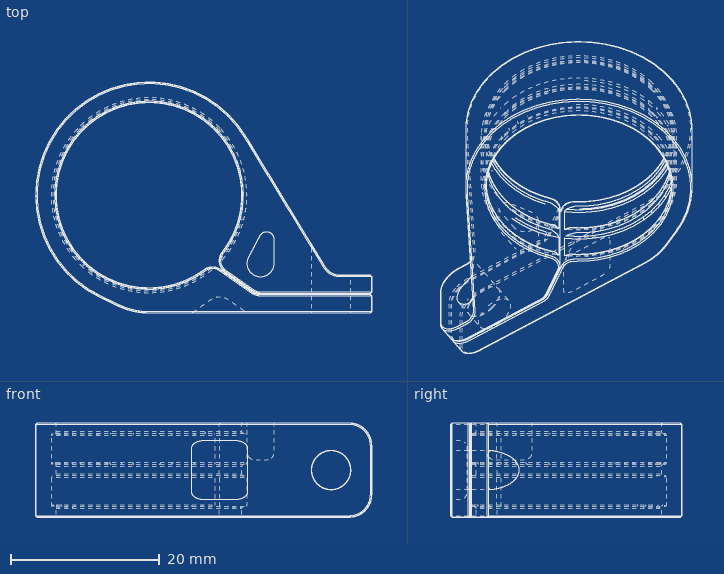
import cadquery as cq
import math

height = 12.7
half_height = height / 2
ring_radius = 15.2
bore_radius = 12.45
overall_length = 45.15
overall_width = 31.05
edge_chamfer = 0.2
clearance = 0.45

tab_end = overall_length - ring_radius
base_y = ring_radius - overall_width
tab_thickness = 5.1
tab_top = base_y + tab_thickness
tab_corner_radius = 3.02
slope_angle = math.radians(31.3)
slope_fillet = 2.4
base_blend_radius = 9.48

slot_width = 0.115
slot_angle = math.radians(35)
slot_bend_x = 14.4
lower_jaw_thickness = 2.55
slot_y = base_y + lower_jaw_thickness
slot_bend_fillet = 2.0
jaw_tip_fillet = 1.8

screw_hole_diameter = 5.25
screw_hole_x = 24.45

groove_depth = 0.68
groove_round = 0.25
middle_land = 1.0
end_land = 1.17

hinge_x = 9.48
hinge_mouth = 7.5
hinge_height = 7.95
hinge_angle = math.radians(35)
hinge_root_radius = 2.0
hinge_end_fillet = 1.0

teardrop_radius = 1.8
teardrop_floor_fillet = 1.0
teardrop_floor_tip = 0.01
teardrop_tip_radius = teardrop_floor_fillet + teardrop_floor_tip
teardrop_x = 15.0
teardrop_y = -9.15
teardrop_length = 3.25
teardrop_depth = 4.95


def polar(radius, angle, center=(0, 0)):
    return (center[0] + radius * math.cos(angle), center[1] + radius * math.sin(angle))


def make_body():
    """Ring with the tab; a blend arc and a short tangent line join the base to the ring."""
    blend_center = (0, base_y + base_blend_radius)
    blend_angle = math.acos((ring_radius - base_blend_radius) / -blend_center[1])
    tangent_direction = -math.pi / 2 - blend_angle
    slope_corner_x = (ring_radius - tab_top * math.sin(slope_angle)) / math.cos(slope_angle)
    body = (
        cq.Workplane("XY")
        .workplane(offset=-half_height)
        .moveTo(0, base_y)
        .lineTo(tab_end, base_y)
        .lineTo(tab_end, tab_top)
        .lineTo(slope_corner_x, tab_top)
        .lineTo(*polar(ring_radius, slope_angle))
        .threePointArc((-ring_radius, 0), polar(ring_radius, tangent_direction))
        .lineTo(*polar(base_blend_radius, tangent_direction, blend_center))
        .threePointArc(
            polar(base_blend_radius, -math.pi / 2 - blend_angle / 2, blend_center),
            (0, base_y),
        )
        .close()
        .extrude(height)
    )
    slope_corner = cq.selectors.NearestToPointSelector((slope_corner_x, tab_top, 0))
    body = body.edges("|Z").edges(slope_corner).fillet(slope_fillet)
    return body.edges("|Y and >X").fillet(tab_corner_radius)


def slot_outline():
    """Slot corners: a sloped run from inside the bore, then a straight run through the tab end."""
    half_width = slot_width / 2
    run = (slot_bend_x - bore_radius / 2) / math.cos(slot_angle)
    start = polar(run, math.pi - slot_angle, (slot_bend_x, slot_y))
    miter = half_width * math.tan(slot_angle / 2)
    normal = (half_width * math.sin(slot_angle), half_width * math.cos(slot_angle))
    beyond_end = tab_end + clearance
    return [
        (start[0] + normal[0], start[1] + normal[1]),
        (slot_bend_x + miter, slot_y + half_width),
        (beyond_end, slot_y + half_width),
        (beyond_end, slot_y - half_width),
        (slot_bend_x - miter, slot_y - half_width),
        (start[0] - normal[0], start[1] - normal[1]),
    ]


def cut_bore_and_slot(body):
    bore = cq.Workplane("XY").circle(bore_radius).extrude(height, both=True)
    slot = cq.Workplane("XY").polyline(slot_outline()).close().extrude(height, both=True)
    body = body.cut(bore).cut(slot)
    bend = cq.selectors.BoxSelector(
        (slot_bend_x - clearance, slot_y - clearance, -clearance),
        (slot_bend_x + clearance, slot_y + clearance, clearance),
    )
    body = body.edges("|Z").edges(bend).fillet(slot_bend_fillet)
    tips = cq.selectors.BoxSelector(
        (bore_radius / 2, slot_y, -clearance), (bore_radius, 0, clearance)
    )
    return body.edges("|Z").edges(tips).fillet(jaw_tip_fillet)


def chamfer_rims(body):
    """Chamfer the outlines of both end faces and the rounded tab end."""
    return body.edges("(not(|Y or |Z)) or (|Z and >X)").chamfer(edge_chamfer)


def make_groove():
    """Upper groove: a ring that widens at the bore to leave rounded lips."""
    mouth_low = middle_land / 2
    mouth_high = half_height - end_land
    floor_low = mouth_low + groove_round
    floor_high = mouth_high - groove_round
    floor_radius = bore_radius + groove_depth
    lip_radius = bore_radius + groove_round
    inside_bore = bore_radius - clearance
    lip_center_distance = groove_round * math.sqrt(0.5)
    lip_mid_radius = lip_radius - lip_center_distance

    recess = (
        cq.Workplane("XZ")
        .moveTo(inside_bore, mouth_low)
        .lineTo(bore_radius, mouth_low)
        .threePointArc((lip_mid_radius, mouth_low + lip_center_distance), (lip_radius, floor_low))
        .lineTo(floor_radius, floor_low)
        .lineTo(floor_radius, floor_high)
        .lineTo(lip_radius, floor_high)
        .threePointArc((lip_mid_radius, mouth_high - lip_center_distance), (bore_radius, mouth_high))
        .lineTo(inside_bore, mouth_high)
        .close()
        .revolve(360, (0, 0, 0), (0, 1, 0))
    )
    floor_edges = cq.selectors.RadiusNthSelector(-1)
    return recess.edges("%CIRCLE").edges(floor_edges).fillet(groove_round)


def make_hinge_pocket():
    half_mouth = hinge_mouth / 2
    apex_y = base_y + half_mouth * math.tan(hinge_angle)
    pocket = (
        cq.Workplane("XY")
        .workplane(offset=-hinge_height / 2)
        .moveTo(hinge_x - half_mouth, base_y)
        .lineTo(hinge_x + half_mouth, base_y)
        .lineTo(hinge_x, apex_y)
        .close()
        .extrude(hinge_height)
    )
    pocket = pocket.edges("|Z and >Y").fillet(hinge_root_radius)
    walls = pocket.faces("|Z").edges("not(<Y)")
    return walls.fillet(hinge_end_fillet)


def make_teardrop_pocket():
    """Two circles joined by tangent lines; the +X side is straight along Y."""
    lower = (teardrop_x, teardrop_y)
    upper = (
        teardrop_x + teardrop_radius - teardrop_tip_radius,
        teardrop_y + teardrop_length,
    )
    axis_angle = math.atan2(upper[1] - lower[1], upper[0] - lower[0])
    left_normal = 2 * axis_angle
    pocket = (
        cq.Workplane("XY")
        .workplane(offset=half_height - teardrop_depth)
        .moveTo(*polar(teardrop_radius, 0, lower))
        .lineTo(*polar(teardrop_tip_radius, 0, upper))
        .threePointArc(
            polar(teardrop_tip_radius, axis_angle, upper),
            polar(teardrop_tip_radius, left_normal, upper),
        )
        .lineTo(*polar(teardrop_radius, left_normal, lower))
        .threePointArc(
            polar(teardrop_radius, axis_angle + math.pi, lower),
            polar(teardrop_radius, 0, lower),
        )
        .close()
        .extrude(teardrop_depth)
    )
    return pocket.faces("<Z").edges().fillet(teardrop_floor_fillet)


def make_screw_hole():
    hole = cq.Workplane("XZ").center(screw_hole_x, 0).circle(screw_hole_diameter / 2)
    return hole.extrude(overall_width, both=True)


result = chamfer_rims(cut_bore_and_slot(make_body()))
upper_groove = make_groove()
for cutter in (
    upper_groove,
    upper_groove.mirror("XY"),
    make_hinge_pocket(),
    make_teardrop_pocket(),
    make_screw_hole(),
):
    result = result.cut(cutter)